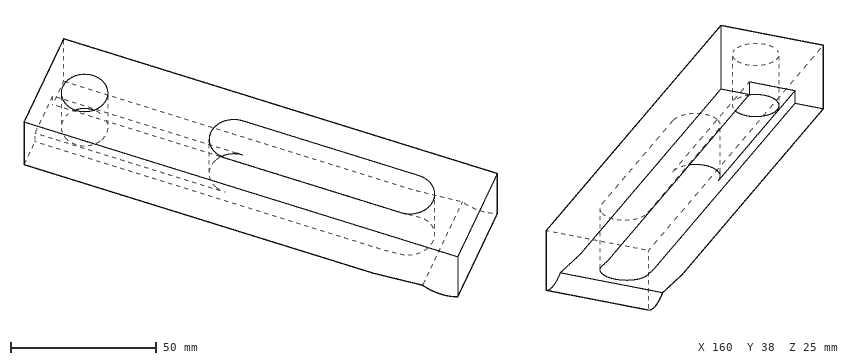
import cadquery as cq
import math

length = 160.0
width = 38.0
height = 25.0

ramp_start = 129.0
ramp_end = 147.0
ramp_rise = 2.0
nose_radius = 13.0
nose_center_x = ramp_end + math.sqrt(nose_radius**2 - (nose_radius - ramp_rise)**2)
nose_end_rise = nose_radius - math.sqrt(nose_radius**2 - (length - nose_center_x)**2)

hole_diameter = 16.0
hole_x = 15.0
slot_width = 17.0
slot_start_center = 70.0
slot_end_center = 135.0
groove_depth = 5.0


def make_body():
    """Side outline with the ramp and nose, extruded across the width."""
    return (
        cq.Workplane("XZ")
        .moveTo(0, 0)
        .lineTo(ramp_start, 0)
        .lineTo(ramp_end, ramp_rise)
        .threePointArc((nose_center_x, 0), (length, nose_end_rise))
        .lineTo(length, height)
        .lineTo(0, height)
        .close()
        .extrude(width / 2, both=True)
    )


def make_hole():
    """Round through hole near the plain end."""
    return cq.Workplane("XY").center(hole_x, 0).circle(hole_diameter / 2).extrude(height)


def make_slot():
    """Long through slot with round ends."""
    overall_length = slot_end_center - slot_start_center + slot_width
    middle_x = (slot_start_center + slot_end_center) / 2
    return cq.Workplane("XY").center(middle_x, 0).slot2D(overall_length, slot_width).extrude(height)


def make_groove():
    """Bottom groove from the plain end, as wide as the slot and running into it."""
    return cq.Workplane("XY").box(
        slot_start_center, slot_width, groove_depth, centered=(False, True, False)
    )


result = (
    make_body()
    .cut(make_hole())
    .cut(make_slot())
    .cut(make_groove())
    .translate((-length / 2, 0, 0))
)